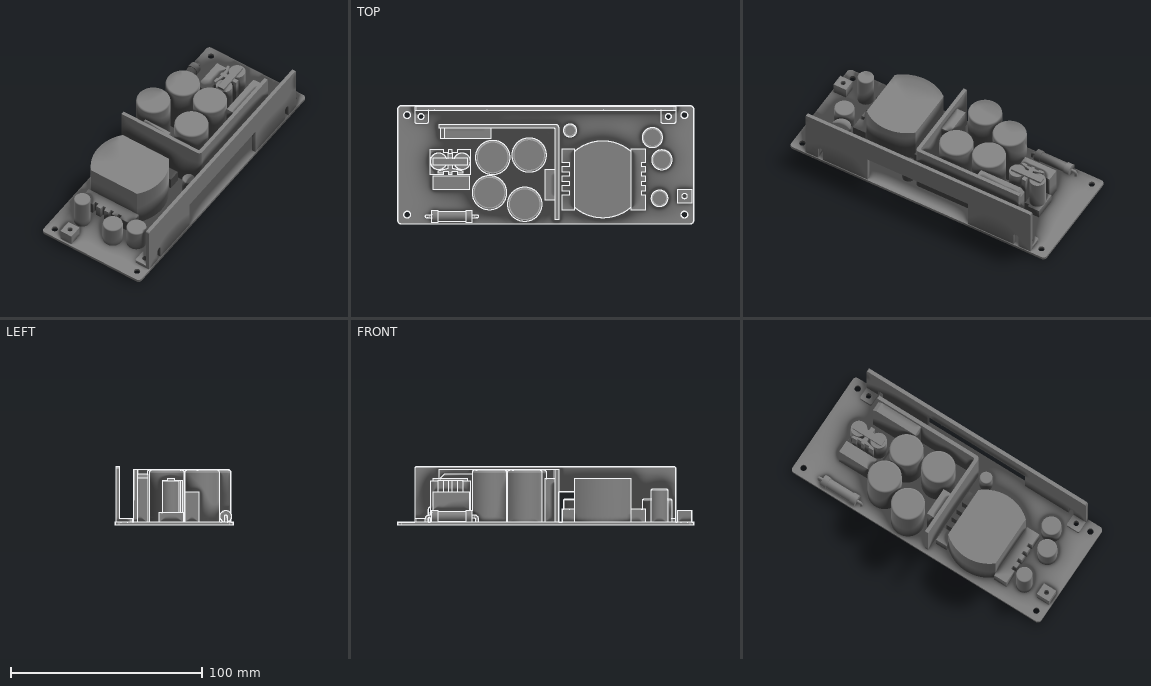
import cadquery as cq

BOARD_LENGTH = 155
BOARD_WIDTH = 62
BOARD_THICKNESS = 1.5
BOARD_CORNER_RADIUS = 2.0
BOARD_HOLE_INSET = 5.0
BOARD_HOLE_DIAMETER = 3.4

BRACKET_LEFT = 9.0
BRACKET_RIGHT = 145.5
BRACKET_FRONT = 59.5
BRACKET_BACK = 61.5
BRACKET_TOP = 30.5
BRACKET_CORNER_RADIUS = 1.0
WINDOW_WIDTH = 60.9
WINDOW_TOP = 17.4
LEFT_FOOT_WIDTH = 7.1
RIGHT_FOOT_WIDTH = 7.8
FOOT_FRONT = 52.7
FOOT_THICKNESS = 1.9
FOOT_CORNER_RADIUS = 1.0
FOOT_HOLE_DIAMETER = 3.0
FOOT_HOLE_Y = 56.3
LEFT_FOOT_HOLE_X = 12.2
RIGHT_FOOT_HOLE_X = 141.7
RELIEF_WIDTH = 3.1
RELIEF_TOP = 9.6

SINK_LEFT = 21.5
SINK_RIGHT = 84.3
SINK_FRONT = 2.3
SINK_BACK = 52.2
SINK_THICKNESS = 2.0
SINK_TOP = 29.1
SINK_OUTER_RADIUS = 1.9
SINK_INNER_RADIUS = 0.6
REAR_DEVICE_LEFT = 22.3
REAR_DEVICE_RIGHT = 48.8
REAR_DEVICE_FRONT = 44.8
REAR_DEVICE_TOP = 26.7
REAR_DEVICE_CHAMFER = 2.2
SIDE_DEVICE_LEFT = 77.0
SIDE_DEVICE_FRONT = 12.5
SIDE_DEVICE_BACK = 28.5
SIDE_DEVICE_TOP = 24.3

LARGE_CAP_CENTERS = [(49.8, 34.9), (68.8, 36.1), (48, 16.5), (66.5, 10.4)]
LARGE_CAP_RADIUS = 9.0
LARGE_CAP_TOP = 28.7
LARGE_CAP_FILLET = 1.0
SMALL_CAPS = [
    (90.2, 49.0, 3.4, 13.5),
    (133.3, 45.3, 5.3, 13.5),
    (138.3, 33.6, 5.3, 13.5),
    (137.0, 13.5, 4.3, 18.8),
]
SMALL_CAP_FILLET = 0.6

CHOKE_CENTER_X = 27.6
CHOKE_BASE_LENGTH = 21.1
CHOKE_BASE_FRONT = 26.0
CHOKE_BASE_BACK = 38.9
CHOKE_BASE_TOP = 6.5
CHOKE_NOTCH_DEPTH = 1.4
CHOKE_NOTCH_WIDTH = 2.8
CHOKE_NOTCH_SPACING = 4.6
COIL_SPACING = 12.2
COIL_Y = 32.9
COIL_RADIUS = 4.3
COIL_TOP = 23.1
FORMER_TOP = 23.4
FORMER_LENGTH = 13.2
FORMER_FRONT = 26.7
FORMER_END_THICKNESS = 1.1
FORMER_MIDDLE_THICKNESS = 2.5
WEB_WIDTH = 2.3
WEB_BACK = 37.0
BAR_LENGTH = 18.0
BAR_FRONT = 30.8
BAR_BACK = 34.5
BAR_TOP = 24.3

FILM_CAP_LEFT = 18.6
FILM_CAP_RIGHT = 37.5
FILM_CAP_FRONT = 18.1
FILM_CAP_BACK = 25.3
FILM_CAP_TOP = 17.4

RESISTOR_CENTER_X = 28.4
RESISTOR_Y = 4.0
RESISTOR_AXIS_Z = 4.5
RESISTOR_LENGTH = 21.2
RESISTOR_BODY_RADIUS = 2.6
RESISTOR_CAP_RADIUS = 3.1
RESISTOR_CAP_LENGTH = 3.3
LEAD_SPAN = 26.4
LEAD_RADIUS = 0.8
LEAD_BEND_RADIUS = 1.4

CORE_LEFT = 92.5
CORE_RIGHT = 122.1
CORE_CENTER_Y = 23.4
CORE_SIDE_LENGTH = 29.1
CORE_MIDDLE_LENGTH = 40.3
CORE_TOP = 24.3
STRIP_LEFT = 86.0
STRIP_RIGHT = 129.7
STRIP_FRONT = 7.5
STRIP_BACK = 39.2
STRIP_TOP = 8.4
STRIP_SLOT_WIDTH = 2.0
STRIP_SLOT_PITCH = 5.0
STRIP_SLOT_COUNT = 4
LEFT_SLOT_DEPTH = 3.9
RIGHT_SLOT_DEPTH = 2.2
STRIP_SLOT_CENTER_Y = 23.7

TERMINAL_LEFT = 146.3
TERMINAL_RIGHT = 153.9
TERMINAL_FRONT = 11.2
TERMINAL_BACK = 18.1
TERMINAL_TOP = 7.6
TERMINAL_HOLE_DIAMETER = 2.8
TERMINAL_HOLE_DEPTH = TERMINAL_TOP - BOARD_THICKNESS


def block(left, right, front, back, top, bottom=BOARD_THICKNESS):
    """Box given by its six faces; it stands on the board unless told otherwise."""
    size = (right - left, back - front, top - bottom)
    return cq.Workplane("XY").box(*size, centered=False).translate((left, front, bottom))


def cylinder(x, y, radius, top, bottom=BOARD_THICKNESS):
    """Upright cylinder."""
    return cq.Workplane("XY", origin=(x, y, bottom)).circle(radius).extrude(top - bottom)


def make_board():
    board = block(0, BOARD_LENGTH, 0, BOARD_WIDTH, BOARD_THICKNESS, bottom=0)
    board = board.edges("|Z").fillet(BOARD_CORNER_RADIUS)
    for x in (BOARD_HOLE_INSET, BOARD_LENGTH - BOARD_HOLE_INSET):
        for y in (BOARD_HOLE_INSET, BOARD_WIDTH - BOARD_HOLE_INSET):
            board = board.cut(cylinder(x, y, BOARD_HOLE_DIAMETER / 2, BOARD_THICKNESS, bottom=0))
    return board


def make_relief(left):
    """Round-topped slot through the bracket plate, beside a foot."""
    radius = RELIEF_WIDTH / 2
    shoulder = RELIEF_TOP - radius
    slot = block(left, left + RELIEF_WIDTH, BRACKET_FRONT, BRACKET_BACK, shoulder)
    crown = (
        cq.Workplane("XZ", origin=(left + radius, BRACKET_BACK, shoulder))
        .circle(radius)
        .extrude(BRACKET_BACK - BRACKET_FRONT)
    )
    return slot.union(crown)


def make_bracket():
    left_foot_end = BRACKET_LEFT + LEFT_FOOT_WIDTH
    right_foot_start = BRACKET_RIGHT - RIGHT_FOOT_WIDTH
    window_center = (BRACKET_LEFT + BRACKET_RIGHT) / 2
    window_left = window_center - WINDOW_WIDTH / 2
    window_right = window_center + WINDOW_WIDTH / 2

    bracket = block(BRACKET_LEFT, BRACKET_RIGHT, BRACKET_FRONT, BRACKET_BACK, BRACKET_TOP)
    bracket = bracket.edges("|Y and >Z").fillet(BRACKET_CORNER_RADIUS)
    bracket = bracket.cut(block(window_left, window_right, BRACKET_FRONT, BRACKET_BACK, WINDOW_TOP))
    for relief_left in (left_foot_end, right_foot_start - RELIEF_WIDTH):
        bracket = bracket.cut(make_relief(relief_left))

    foot_top = BOARD_THICKNESS + FOOT_THICKNESS
    for left, right in ((BRACKET_LEFT, left_foot_end), (right_foot_start, BRACKET_RIGHT)):
        foot = block(left, right, FOOT_FRONT, BRACKET_FRONT, foot_top)
        bracket = bracket.union(foot.edges("|Z and <Y").fillet(FOOT_CORNER_RADIUS))
    return bracket


def make_foot_holes():
    """Screw holes that pass through the bracket feet and the board."""
    foot_top = BOARD_THICKNESS + FOOT_THICKNESS
    left_hole = cylinder(LEFT_FOOT_HOLE_X, FOOT_HOLE_Y, FOOT_HOLE_DIAMETER / 2, foot_top, bottom=0)
    return left_hole.union(left_hole.translate((RIGHT_FOOT_HOLE_X - LEFT_FOOT_HOLE_X, 0, 0)))


def make_heat_sink():
    inner_x = SINK_RIGHT - SINK_THICKNESS
    inner_y = SINK_BACK - SINK_THICKNESS
    outer = block(SINK_LEFT, SINK_RIGHT, SINK_FRONT, SINK_BACK, SINK_TOP)
    outer = outer.edges("|Z and >X and >Y").fillet(SINK_OUTER_RADIUS)
    inner = block(SINK_LEFT, inner_x, SINK_FRONT, inner_y, SINK_TOP)
    inner = inner.edges("|Z and >X and >Y").fillet(SINK_INNER_RADIUS)

    rear_device = block(REAR_DEVICE_LEFT, REAR_DEVICE_RIGHT, REAR_DEVICE_FRONT, inner_y, REAR_DEVICE_TOP)
    rear_device = rear_device.edges("<X and >Z").chamfer(REAR_DEVICE_CHAMFER)
    side_device = block(SIDE_DEVICE_LEFT, inner_x, SIDE_DEVICE_FRONT, SIDE_DEVICE_BACK, SIDE_DEVICE_TOP)
    return outer.cut(inner).union(rear_device).union(side_device)


def make_round_capacitors():
    caps = cq.Workplane("XY")
    for x, y in LARGE_CAP_CENTERS:
        cap = cylinder(x, y, LARGE_CAP_RADIUS, LARGE_CAP_TOP)
        caps = caps.add(cap.faces(">Z").edges().fillet(LARGE_CAP_FILLET))
    for x, y, radius, top in SMALL_CAPS:
        cap = cylinder(x, y, radius, top)
        caps = caps.add(cap.faces(">Z").edges().fillet(SMALL_CAP_FILLET))
    return caps.combine()


def make_choke():
    half_base = CHOKE_BASE_LENGTH / 2
    half_former = FORMER_LENGTH / 2
    half_bar = BAR_LENGTH / 2
    half_web = WEB_WIDTH / 2
    former_end_back = FORMER_FRONT + FORMER_END_THICKNESS
    former_middle_back = FORMER_FRONT + FORMER_MIDDLE_THICKNESS

    base = block(
        CHOKE_CENTER_X - half_base,
        CHOKE_CENTER_X + half_base,
        CHOKE_BASE_FRONT,
        CHOKE_BASE_BACK,
        CHOKE_BASE_TOP,
    )
    former = (
        cq.Workplane("XY", origin=(CHOKE_CENTER_X, 0, BOARD_THICKNESS))
        .moveTo(-half_former, FORMER_FRONT)
        .lineTo(half_former, FORMER_FRONT)
        .lineTo(half_former, former_end_back)
        .lineTo(half_web, former_middle_back)
        .lineTo(half_web, WEB_BACK)
        .lineTo(-half_web, WEB_BACK)
        .lineTo(-half_web, former_middle_back)
        .lineTo(-half_former, former_end_back)
        .close()
        .extrude(FORMER_TOP - BOARD_THICKNESS)
    )
    choke = base.union(former)

    for side in (-1, 1):
        notch_left = CHOKE_CENTER_X + side * CHOKE_NOTCH_SPACING / 2 - CHOKE_NOTCH_WIDTH / 2
        notch_right = notch_left + CHOKE_NOTCH_WIDTH
        for front in (CHOKE_BASE_FRONT, CHOKE_BASE_BACK - CHOKE_NOTCH_DEPTH):
            choke = choke.cut(block(notch_left, notch_right, front, front + CHOKE_NOTCH_DEPTH, FORMER_TOP))

    for side in (-1, 1):
        coil_x = CHOKE_CENTER_X + side * COIL_SPACING / 2
        choke = choke.union(cylinder(coil_x, COIL_Y, COIL_RADIUS, COIL_TOP))
    bar = block(
        CHOKE_CENTER_X - half_bar,
        CHOKE_CENTER_X + half_bar,
        BAR_FRONT,
        BAR_BACK,
        BAR_TOP,
        bottom=COIL_TOP,
    )
    return choke.union(bar)


def make_film_capacitor():
    return block(FILM_CAP_LEFT, FILM_CAP_RIGHT, FILM_CAP_FRONT, FILM_CAP_BACK, FILM_CAP_TOP)


def make_resistor():
    axis_start = cq.Workplane("YZ", origin=(RESISTOR_CENTER_X, RESISTOR_Y, RESISTOR_AXIS_Z))
    half_length = RESISTOR_LENGTH / 2
    half_lead = LEAD_SPAN / 2

    resistor = axis_start.circle(RESISTOR_BODY_RADIUS).extrude(half_length, both=True)
    lead_path = (
        cq.Workplane("XZ", origin=(RESISTOR_CENTER_X, RESISTOR_Y, 0))
        .moveTo(-half_lead, BOARD_THICKNESS)
        .lineTo(-half_lead, RESISTOR_AXIS_Z - LEAD_BEND_RADIUS)
        .radiusArc((-half_lead + LEAD_BEND_RADIUS, RESISTOR_AXIS_Z), LEAD_BEND_RADIUS)
        .lineTo(half_lead - LEAD_BEND_RADIUS, RESISTOR_AXIS_Z)
        .radiusArc((half_lead, RESISTOR_AXIS_Z - LEAD_BEND_RADIUS), LEAD_BEND_RADIUS)
        .lineTo(half_lead, BOARD_THICKNESS)
    )
    lead = (
        cq.Workplane("XY", origin=(RESISTOR_CENTER_X - half_lead, RESISTOR_Y, BOARD_THICKNESS))
        .circle(LEAD_RADIUS)
        .sweep(lead_path)
    )
    resistor = resistor.union(lead)
    for offset in (-half_length, half_length - RESISTOR_CAP_LENGTH):
        cap = axis_start.workplane(offset=offset).circle(RESISTOR_CAP_RADIUS).extrude(RESISTOR_CAP_LENGTH)
        resistor = resistor.union(cap)
    return resistor


def make_transformer():
    half_side = CORE_SIDE_LENGTH / 2
    half_middle = CORE_MIDDLE_LENGTH / 2
    core_center_x = (CORE_LEFT + CORE_RIGHT) / 2
    half_core = (CORE_RIGHT - CORE_LEFT) / 2
    core = (
        cq.Workplane("XY", origin=(core_center_x, CORE_CENTER_Y, BOARD_THICKNESS))
        .moveTo(-half_core, -half_side)
        .threePointArc((0, -half_middle), (half_core, -half_side))
        .lineTo(half_core, half_side)
        .threePointArc((0, half_middle), (-half_core, half_side))
        .close()
        .extrude(CORE_TOP - BOARD_THICKNESS)
    )

    left_strip = block(STRIP_LEFT, CORE_LEFT, STRIP_FRONT, STRIP_BACK, STRIP_TOP)
    right_strip = block(CORE_RIGHT, STRIP_RIGHT, STRIP_FRONT, STRIP_BACK, STRIP_TOP)
    for index in range(STRIP_SLOT_COUNT):
        slot_y = STRIP_SLOT_CENTER_Y + (index - (STRIP_SLOT_COUNT - 1) / 2) * STRIP_SLOT_PITCH
        front = slot_y - STRIP_SLOT_WIDTH / 2
        back = slot_y + STRIP_SLOT_WIDTH / 2
        left_strip = left_strip.cut(
            block(STRIP_LEFT, STRIP_LEFT + LEFT_SLOT_DEPTH, front, back, STRIP_TOP)
        )
        right_strip = right_strip.cut(
            block(STRIP_RIGHT - RIGHT_SLOT_DEPTH, STRIP_RIGHT, front, back, STRIP_TOP)
        )
    return core.union(left_strip).union(right_strip)


def make_terminal():
    terminal = block(TERMINAL_LEFT, TERMINAL_RIGHT, TERMINAL_FRONT, TERMINAL_BACK, TERMINAL_TOP)
    return terminal.faces(">Z").workplane(centerOption="CenterOfBoundBox").hole(
        TERMINAL_HOLE_DIAMETER, TERMINAL_HOLE_DEPTH
    )


result = (
    make_board()
    .union(make_bracket())
    .cut(make_foot_holes())
    .union(make_heat_sink())
    .union(make_round_capacitors())
    .union(make_choke())
    .union(make_film_capacitor())
    .union(make_resistor())
    .union(make_transformer())
    .union(make_terminal())
)